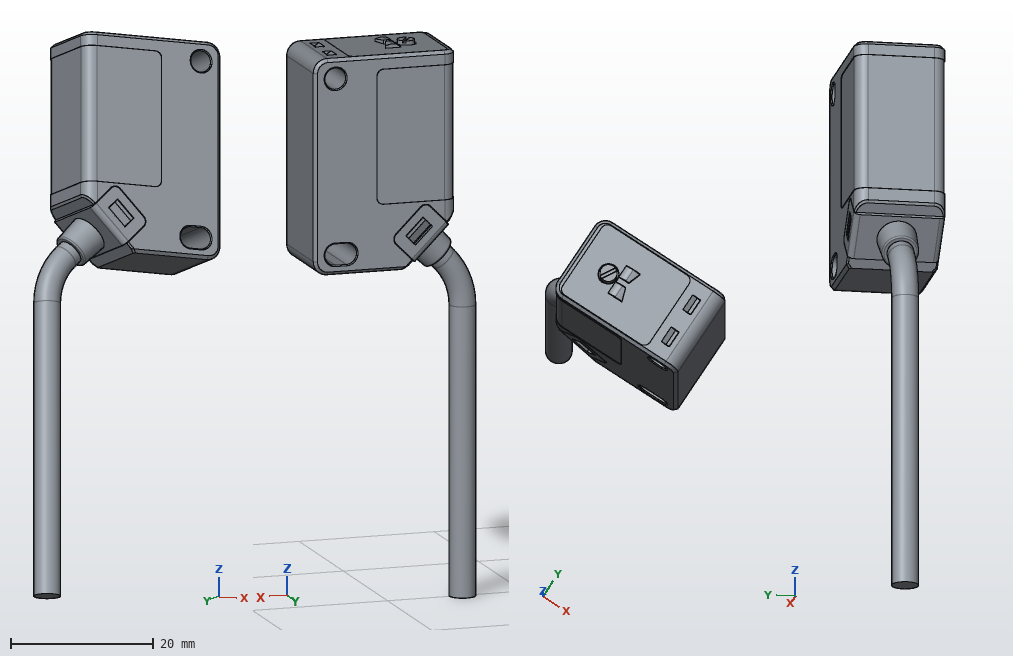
import cadquery as cq
import math

HEIGHT = 80.8
WIDTH = 25.9
DEPTH = 13.0

HOUSING_LENGTH = 21.1
HOUSING_HEIGHT = 31.2
BOSS_HEIGHT = 0.6
FRONT_RADIUS = 1.8
BACK_RADIUS = 2.0
EDGE_CHAMFER = 0.5
CORNER_CHAMFER = 0.25
CORNER_CUT = 7.7

HOUSING_TOP = HEIGHT - BOSS_HEIGHT
HOUSING_BOTTOM = HOUSING_TOP - HOUSING_HEIGHT
HOUSING_FRONT = WIDTH - HOUSING_LENGTH

HOLE_DIAMETER = 3.1
HOLE_CHAMFER = 0.2
HOLE_EDGE_DISTANCE = 2.9
HOLE_BACK_DISTANCE = 3.15
SLOT_LENGTH = 4.7
HOLE_X = WIDTH - HOLE_BACK_DISTANCE
SLOT_X = HOLE_X + (HOLE_DIAMETER - SLOT_LENGTH) / 2

WINDOW_INSET = 0.1
WINDOW_BACK = 16.65
WINDOW_BOTTOM = 58.75
WINDOW_TOP = 78.2
WINDOW_RADIUS = 1.0

COVER_THICKNESS = 0.8
COVER_FRONT = 5.8
COVER_BACK = 20.5
COVER_WIDTH = 11.9
COVER_RADIUS = 1.0

SCREW_X = 10.3
SCREW_RADIUS = 1.2
SCREW_HOLE_RADIUS = 1.45
SCREW_SLOT_WIDTH = 0.5
SCREW_SLOT_DEPTH = 0.3
SCREW_SLOT_ANGLE = 60

WEDGE_FRONT = SCREW_X + SCREW_HOLE_RADIUS
WEDGE_CREST = 12.9
WEDGE_INNER_BACK = 13.4
WEDGE_OUTER_BACK = 14.1
WEDGE_INNER_Y = 0.4
WEDGE_OUTER_Y = 2.35
WEDGE_BACK_DROP = 0.25

INDICATOR_FRONT = 21.8
INDICATOR_LENGTH = 1.3
INDICATOR_RAMP = 0.7
INDICATOR_WIDTH = 2.5
INDICATOR_DEPTH = 0.5
INDICATOR_Y = 2.75

PLUG_ANGLE = 45
PLUG_WIDTH = 7.1
PLUG_BURIED = 4.6
PLUG_PROUD = 0.5
PLUG_BACK_RADIUS = 1.0
PLUG_FRONT_RADIUS = 0.8
PLUG_CLEARANCE = 0.1
PLUG_X = 8.7
PLUG_Z = HOUSING_BOTTOM + CORNER_CUT - (PLUG_X - HOUSING_FRONT)

BOOT_BASE_RADIUS = 2.8
BOOT_TIP_RADIUS = 2.6
BOOT_LENGTH = 4.05
BOOT_TIP_FILLET = 0.25

LATCH_FRONT = 1.4
LATCH_LENGTH = 1.9
LATCH_GROOVE = 0.2
LATCH_RAMP = 1.2
LATCH_WIDTH = 3.55
LATCH_DEPTH = 0.65
LATCH_STEP = 0.2

CABLE_DIAMETER = 3.8
CABLE_X = CABLE_DIAMETER / 2
BEND_RADIUS = 9.7


def box_between(x0, x1, width, z0, z1):
    """Box between the given X and Z limits, centred on Y = 0."""
    box = cq.Workplane("XY").box(x1 - x0, width, z1 - z0)
    return box.translate(((x0 + x1) / 2, 0, (z0 + z1) / 2))


def make_mounting_openings():
    hole_z = HOUSING_TOP - HOLE_EDGE_DISTANCE
    slot_z = HOUSING_BOTTOM + HOLE_EDGE_DISTANCE
    hole = (
        cq.Workplane("XZ")
        .center(HOLE_X, hole_z)
        .circle(HOLE_DIAMETER / 2)
        .extrude(DEPTH / 2, both=True)
    )
    slot = (
        cq.Workplane("XZ")
        .center(SLOT_X, slot_z)
        .slot2D(SLOT_LENGTH, HOLE_DIAMETER)
        .extrude(DEPTH / 2, both=True)
    )
    return hole, slot


def make_housing_block():
    block = box_between(HOUSING_FRONT, WIDTH, DEPTH, HOUSING_BOTTOM, HOUSING_TOP)
    for opening in make_mounting_openings():
        block = block.cut(opening)
    block = block.faces("<Y or >Y").edges("%CIRCLE").chamfer(HOLE_CHAMFER)
    block = block.edges("|Y and >X").fillet(BACK_RADIUS)
    block = block.edges("|Y and <X and <Z").chamfer(CORNER_CUT)
    block = block.edges("|Z and <X").fillet(FRONT_RADIUS)
    block = block.faces(">Z").edges("<X").chamfer(EDGE_CHAMFER)
    return block.faces("<(1,0,1)").edges("not(|Y and <Z)").chamfer(CORNER_CHAMFER)


def make_window():
    front = HOUSING_FRONT + WINDOW_INSET
    width = DEPTH - 2 * WINDOW_INSET
    window = box_between(front, WINDOW_BACK, width, WINDOW_BOTTOM, WINDOW_TOP)
    window = window.edges("|Z and <X").fillet(FRONT_RADIUS - WINDOW_INSET)
    return window.edges("|Y and >X").fillet(WINDOW_RADIUS)


def make_window_opening():
    opening = box_between(HOUSING_FRONT, WINDOW_BACK, DEPTH, WINDOW_BOTTOM, WINDOW_TOP)
    return opening.edges("|Y and >X").fillet(WINDOW_RADIUS)


def make_cover_blank():
    """Cover plate without its screw hole; its shape is also the recess in the housing."""
    blank = box_between(COVER_FRONT, COVER_BACK, COVER_WIDTH, HOUSING_TOP - COVER_THICKNESS, HOUSING_TOP)
    return blank.edges("|Z").fillet(COVER_RADIUS)


def make_cover():
    hole = cq.Workplane("XY", origin=(SCREW_X, 0, 0)).circle(SCREW_HOLE_RADIUS).extrude(HEIGHT)
    return make_cover_blank().cut(hole)


def make_screw():
    base = HOUSING_TOP - COVER_THICKNESS
    screw = cq.Workplane("XY", origin=(SCREW_X, 0, base)).circle(SCREW_RADIUS).extrude(HEIGHT - base)
    slot = cq.Workplane("XY").box(3 * SCREW_RADIUS, SCREW_SLOT_WIDTH, 2 * SCREW_SLOT_DEPTH)
    slot = slot.rotate((0, 0, 0), (0, 0, 1), SCREW_SLOT_ANGLE).translate((SCREW_X, 0, HEIGHT))
    return screw.cut(slot)


def crest_arc_middle(run, drop, direction):
    """Middle of an arc that leaves the wedge crest level and falls by drop over run."""
    radius = (run**2 + drop**2) / (2 * drop)
    half_angle = math.asin(run / radius) / 2
    x = WEDGE_CREST + direction * radius * math.sin(half_angle)
    z = HEIGHT - radius * (1 - math.cos(half_angle))
    return x, z


def make_wedge(side):
    """One wedge with a domed top; side is 1 for +Y and -1 for -Y."""
    prism = (
        cq.Workplane("XY", origin=(0, 0, HOUSING_TOP))
        .moveTo(WEDGE_FRONT, side * WEDGE_INNER_Y)
        .lineTo(WEDGE_INNER_BACK, side * WEDGE_INNER_Y)
        .lineTo(WEDGE_OUTER_BACK, side * WEDGE_OUTER_Y)
        .lineTo(WEDGE_FRONT, side * WEDGE_OUTER_Y)
        .close()
        .extrude(BOSS_HEIGHT)
    )
    dome = (
        cq.Workplane("XZ")
        .moveTo(WEDGE_FRONT, HOUSING_TOP)
        .threePointArc(
            crest_arc_middle(WEDGE_CREST - WEDGE_FRONT, BOSS_HEIGHT, -1),
            (WEDGE_CREST, HEIGHT),
        )
        .threePointArc(
            crest_arc_middle(WEDGE_OUTER_BACK - WEDGE_CREST, WEDGE_BACK_DROP, 1),
            (WEDGE_OUTER_BACK, HEIGHT - WEDGE_BACK_DROP),
        )
        .lineTo(WEDGE_OUTER_BACK, HOUSING_TOP)
        .close()
        .extrude(DEPTH / 2, both=True)
    )
    return prism.intersect(dome)


def make_indicator_recess(y):
    back = INDICATOR_FRONT + INDICATOR_LENGTH
    floor = HOUSING_TOP - INDICATOR_DEPTH
    return (
        cq.Workplane("XZ", origin=(0, y, 0))
        .moveTo(INDICATOR_FRONT, HOUSING_TOP)
        .lineTo(INDICATOR_FRONT + INDICATOR_RAMP, floor)
        .lineTo(back, floor)
        .lineTo(back, HOUSING_TOP)
        .close()
        .extrude(INDICATOR_WIDTH / 2, both=True)
    )


def in_plug_place(body):
    """Move a body from the plug's own axes to its place in the cut corner."""
    return body.rotate((0, 0, 0), (0, 1, 0), -PLUG_ANGLE).translate((PLUG_X, 0, PLUG_Z))


def make_plug_pocket():
    half_width = PLUG_WIDTH / 2 + PLUG_CLEARANCE
    back = PLUG_BURIED + PLUG_CLEARANCE
    pocket = box_between(-PLUG_WIDTH, back, DEPTH, -half_width, half_width)
    pocket = pocket.edges("|Y and >X").fillet(PLUG_BACK_RADIUS + PLUG_CLEARANCE)
    return in_plug_place(pocket)


def make_latch_recess(side):
    """Pocket with a ramp that rises from its front to its back step; side is 1 for +Y, -1 for -Y."""
    face = side * DEPTH / 2
    deep = side * (DEPTH / 2 - LATCH_DEPTH)
    shallow = side * (DEPTH / 2 - LATCH_STEP)
    ramp_start = LATCH_FRONT + LATCH_GROOVE
    ramp_end = ramp_start + LATCH_RAMP
    back = LATCH_FRONT + LATCH_LENGTH
    return (
        cq.Workplane("XY")
        .moveTo(LATCH_FRONT, face)
        .lineTo(LATCH_FRONT, deep)
        .lineTo(ramp_start, deep)
        .lineTo(ramp_end, shallow)
        .lineTo(back, shallow)
        .lineTo(back, face)
        .close()
        .extrude(LATCH_WIDTH / 2, both=True)
    )


def make_boot():
    base = cq.Workplane("YZ", origin=(-PLUG_PROUD, 0, 0)).circle(BOOT_BASE_RADIUS)
    boot = base.workplane(offset=-BOOT_LENGTH).circle(BOOT_TIP_RADIUS).loft()
    return boot.faces("<X").edges().fillet(BOOT_TIP_FILLET)


def make_plug():
    half_width = PLUG_WIDTH / 2
    plug = box_between(-PLUG_PROUD, PLUG_BURIED, DEPTH, -half_width, half_width)
    plug = plug.edges("|Y and >X").fillet(PLUG_BACK_RADIUS)
    plug = plug.edges("|Z and <X").fillet(PLUG_FRONT_RADIUS)
    for side in (1, -1):
        plug = plug.cut(make_latch_recess(side))
    return in_plug_place(plug.union(make_boot()))


def make_cable():
    """Hanging cable that bends to meet the boot squarely."""
    slant = math.radians(PLUG_ANGLE)
    reach = PLUG_PROUD + BOOT_LENGTH
    end_x = PLUG_X - reach * math.cos(slant)
    end_z = PLUG_Z - reach * math.sin(slant)
    bend_end_x = CABLE_X + BEND_RADIUS * (1 - math.cos(slant))
    bend_end_z = end_z - (end_x - bend_end_x) / math.tan(slant)
    bend_start_z = bend_end_z - BEND_RADIUS * math.sin(slant)
    path = (
        cq.Workplane("XZ")
        .moveTo(CABLE_X, 0)
        .lineTo(CABLE_X, bend_start_z)
        .tangentArcPoint((bend_end_x, bend_end_z), relative=False)
        .lineTo(end_x, end_z)
    )
    return cq.Workplane("XY", origin=(CABLE_X, 0, 0)).circle(CABLE_DIAMETER / 2).sweep(path)


def make_housing():
    housing = make_housing_block()
    for side in (1, -1):
        housing = housing.cut(make_indicator_recess(side * INDICATOR_Y))
    housing = housing.cut(make_window_opening())
    housing = housing.cut(make_cover_blank())
    return housing.cut(make_plug_pocket())


housing = make_housing()
window = make_window()
cover = make_cover()
screw = make_screw()
wedges = [make_wedge(side) for side in (1, -1)]
plug = make_plug()
cable = make_cable()

bodies = [housing, window, cover, screw, *wedges, plug, cable]
result = cq.Compound.makeCompound([body.solids().val() for body in bodies])